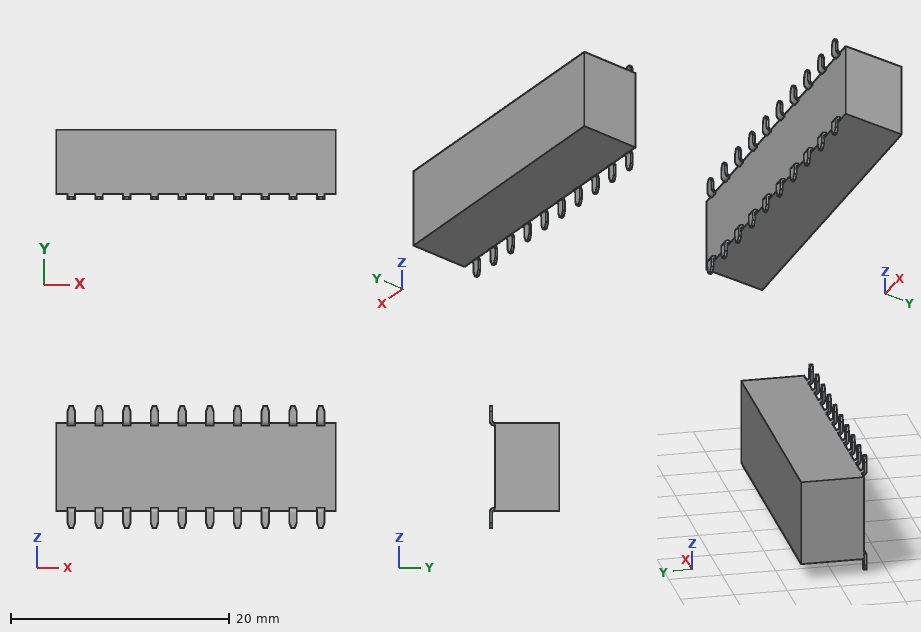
import cadquery as cq

overall_depth = 6.4
overall_height = 11.2

housing_length = 25.6
housing_depth = 5.91
housing_height = 8.1

lead_count = 10
end_margin = 1.38
lead_pitch = (housing_length - 2 * end_margin) / (lead_count - 1)
lead_width = 0.72
lead_thickness = 0.25
lead_standoff = overall_depth - housing_depth
upper_root_inset = lead_thickness
lower_root_inset = 0.33

outer_bend_radius = 0.45
inner_bend_radius = outer_bend_radius - lead_thickness

tip_width = 0.33
tip_length = 0.5

root_embed = 0.25


def make_housing():
    return cq.Workplane("XY").box(
        housing_length, housing_depth, housing_height, centered=(True, False, True)
    )


def make_lead(root_inset):
    """Bent strip at X = 0 along the housing top, with its blade pointing up and its tip tapered."""
    front = -lead_standoff
    back = front + lead_thickness
    underside = housing_height / 2 - root_inset
    root_top = underside + lead_thickness
    bend_y = front + outer_bend_radius
    bend_z = underside + outer_bend_radius
    tip_z = overall_height / 2

    strip = (
        cq.Workplane("YZ")
        .moveTo(root_embed, underside)
        .lineTo(bend_y, underside)
        .radiusArc((front, bend_z), outer_bend_radius)
        .lineTo(front, tip_z)
        .lineTo(back, tip_z)
        .lineTo(back, bend_z)
        .radiusArc((bend_y, root_top), -inner_bend_radius)
        .lineTo(root_embed, root_top)
        .close()
        .extrude(lead_width / 2, both=True)
    )
    shoulder_z = tip_z - tip_length
    face_outline = (
        cq.Workplane("XZ", origin=(0, root_embed, 0))
        .polyline([
            (-lead_width / 2, underside),
            (lead_width / 2, underside),
            (lead_width / 2, shoulder_z),
            (tip_width / 2, tip_z),
            (-tip_width / 2, tip_z),
            (-lead_width / 2, shoulder_z),
        ])
        .close()
        .extrude(root_embed + lead_standoff)
    )
    return strip.intersect(face_outline)


upper_lead = make_lead(upper_root_inset)
lower_lead = make_lead(lower_root_inset).mirror("XY")

result = make_housing()
for index in range(lead_count):
    lead_x = -housing_length / 2 + end_margin + index * lead_pitch
    result = result.union(upper_lead.translate((lead_x, 0, 0)))
    result = result.union(lower_lead.translate((lead_x, 0, 0)))